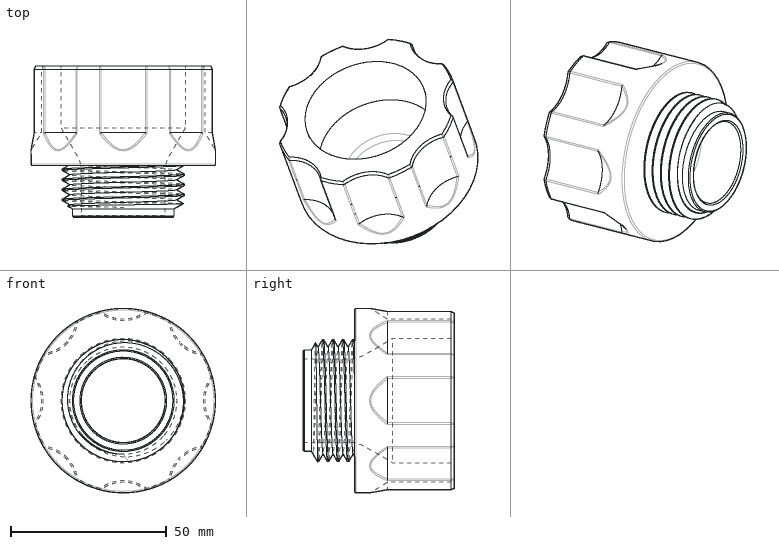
import cadquery as cq
import math


BODY_RADIUS = 29.65
BODY_LENGTH = 32.05
FACE_EDGE_ROUND = 0.5
END_CHAMFER_LENGTH = 1.1
END_CHAMFER_INSET = 0.5

FLUTE_COUNT = 8
FLUTE_RADIUS = 12.0
FLUTE_DEPTH = 3.45
FLUTE_RUNOUT_START = 10.6
FLUTE_TIP = 5.0
FLUTE_EDGE_ROUND = 0.7
FLUTE_OVERRUN = 1.0

SPIGOT_LENGTH = 16.56
NOSE_RADIUS = 16.35
NOSE_LENGTH = 2.7
NOSE_EDGE_CHAMFER = 0.4
THREAD_RADIUS = 19.65
THREAD_PITCH = 3.22
THREAD_ANGLE = 60.0
THREAD_CREST_WIDTH = 0.4
THREAD_LEAD_IN_LENGTH = 1.85
FIRST_CREST_Y = -1.3
GROOVE_OVERCUT = 0.25
TURNS_ABOVE_FACE = 2
TURNS_BELOW_FACE = 5

BORE_RADIUS = 13.45
BORE_MOUTH_CHAMFER = 0.5
BORE_END = -0.6
THROAT_FLARE_ANGLE = 15.0
THROAT_END = 2.1
SOCKET_FLARE_ANGLE = 30.0
SOCKET_RADIUS = 20.0

TOLERANCE = 0.01


def revolve_about_y(points):
    """Solid of revolution about Y from an outline of (radius, y) points."""
    return cq.Workplane("XY").polyline(points).close().revolve(360, (0, 0, 0), (0, 1, 0))


def make_flute_cutter():
    """Cone-ended cylinder that cuts the flute on the +X side."""
    axis_distance = BODY_RADIUS + FLUTE_RADIUS - FLUTE_DEPTH
    cone_length = FLUTE_RADIUS * (FLUTE_RUNOUT_START - FLUTE_TIP) / FLUTE_DEPTH
    top = BODY_LENGTH + FLUTE_OVERRUN
    cutter = revolve_about_y([
        (0, FLUTE_RUNOUT_START - cone_length),
        (FLUTE_RADIUS, FLUTE_RUNOUT_START),
        (FLUTE_RADIUS, top),
        (0, top),
    ])
    return cutter.translate((axis_distance, 0, 0))


def is_flute_rim(edge):
    """True for the edges where a flute meets the outside of the grip."""
    middle = edge.positionAt(0.5)
    on_outside = abs(math.hypot(middle.x, middle.z) - BODY_RADIUS) < TOLERANCE
    runout_length = FLUTE_RUNOUT_START - FLUTE_TIP
    return on_outside and runout_length - TOLERANCE < edge.BoundingBox().ylen < BODY_LENGTH - TOLERANCE


def make_grip():
    grip = cq.Workplane("XZ").circle(BODY_RADIUS).extrude(-BODY_LENGTH)
    cutter = make_flute_cutter()
    for i in range(FLUTE_COUNT):
        grip = grip.cut(cutter.rotate((0, 0, 0), (0, 1, 0), i * 360 / FLUTE_COUNT))
    flute_rims = [edge for edge in grip.edges().vals() if is_flute_rim(edge)]
    grip = grip.newObject(flute_rims).fillet(FLUTE_EDGE_ROUND)
    grip = grip.faces(">Y").edges().chamfer(END_CHAMFER_LENGTH, END_CHAMFER_INSET)
    return grip.faces("<Y").edges().fillet(FACE_EDGE_ROUND)


def make_thread_groove():
    """Right-handed helical V groove; the crest is what is left between its turns."""
    flank_slope = math.tan(math.radians(THREAD_ANGLE / 2))
    thread_depth = (THREAD_PITCH - THREAD_CREST_WIDTH) / 2 / flank_slope
    root_radius = THREAD_RADIUS - thread_depth
    outer_radius = THREAD_RADIUS + GROOVE_OVERCUT
    half_width = (thread_depth + GROOVE_OVERCUT) * flank_slope
    turns = TURNS_ABOVE_FACE + TURNS_BELOW_FACE
    helix = cq.Wire.makeHelix(THREAD_PITCH, turns * THREAD_PITCH, root_radius)
    section = cq.Workplane("XZ").polyline([
        (root_radius, 0),
        (outer_radius, half_width),
        (outer_radius, -half_width),
    ]).close()
    groove = section.sweep(cq.Workplane(helix), isFrenet=True)
    groove = groove.rotate((0, 0, 0), (1, 0, 0), -90)
    return groove.translate((0, FIRST_CREST_Y - TURNS_BELOW_FACE * THREAD_PITCH, 0))


def make_spigot():
    nose_start = NOSE_LENGTH - SPIGOT_LENGTH
    blank = revolve_about_y([
        (0, 0),
        (THREAD_RADIUS, 0),
        (THREAD_RADIUS, nose_start + THREAD_LEAD_IN_LENGTH),
        (NOSE_RADIUS, nose_start),
        (NOSE_RADIUS, NOSE_EDGE_CHAMFER - SPIGOT_LENGTH),
        (NOSE_RADIUS - NOSE_EDGE_CHAMFER, -SPIGOT_LENGTH),
        (0, -SPIGOT_LENGTH),
    ])
    return blank.cut(make_thread_groove())


def make_passage():
    throat_growth = (THROAT_END - BORE_END) * math.tan(math.radians(THROAT_FLARE_ANGLE))
    throat_radius = BORE_RADIUS + throat_growth
    socket_start = THROAT_END + (SOCKET_RADIUS - throat_radius) / math.tan(math.radians(SOCKET_FLARE_ANGLE))
    return revolve_about_y([
        (0, -SPIGOT_LENGTH),
        (BORE_RADIUS + BORE_MOUTH_CHAMFER, -SPIGOT_LENGTH),
        (BORE_RADIUS, BORE_MOUTH_CHAMFER - SPIGOT_LENGTH),
        (BORE_RADIUS, BORE_END),
        (throat_radius, THROAT_END),
        (SOCKET_RADIUS, socket_start),
        (SOCKET_RADIUS, BODY_LENGTH),
        (0, BODY_LENGTH),
    ])


part = make_grip().union(make_spigot()).cut(make_passage())
result = part.solids()